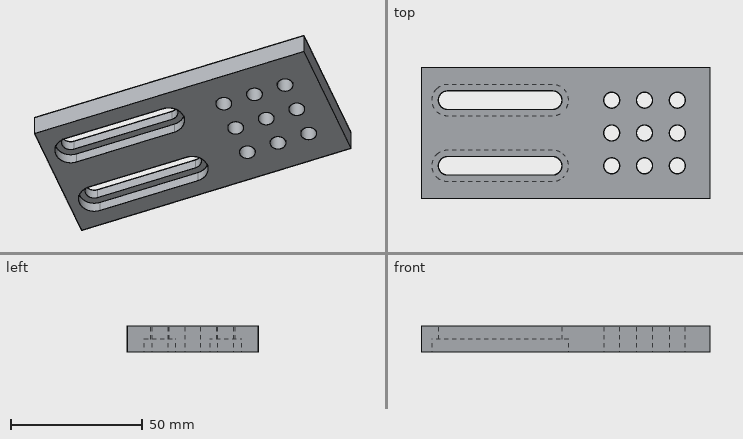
import cadquery as cq

PLATE_LENGTH = 110.0
PLATE_WIDTH = 50.0
PLATE_THICKNESS = 10.0

HOLE_DIAMETER = 6.0
GRID_PITCH = 12.5
GRID_COUNT = 3
GRID_CENTER_X = 30.0

SLOT_WIDTH = 7.0
RECESS_WIDTH = 12.0
RECESS_DEPTH = 5.0
SLOT_TRAVEL = 40.0
SLOT_CENTER_X = -25.0
SLOT_OFFSET_Y = GRID_PITCH * (GRID_COUNT - 1) / 2


def make_plate():
    return cq.Workplane("XY").box(
        PLATE_LENGTH, PLATE_WIDTH, PLATE_THICKNESS, centered=(True, True, False)
    )


def make_hole_grid():
    return (
        cq.Workplane("XY")
        .center(GRID_CENTER_X, 0)
        .rarray(GRID_PITCH, GRID_PITCH, GRID_COUNT, GRID_COUNT)
        .circle(HOLE_DIAMETER / 2)
        .extrude(PLATE_THICKNESS)
    )


def make_slots(width, height):
    """Both slots as solids of the given width, rising from the underside of the plate."""
    centers = [(SLOT_CENTER_X, side * SLOT_OFFSET_Y) for side in (-1, 1)]
    return (
        cq.Workplane("XY")
        .pushPoints(centers)
        .slot2D(SLOT_TRAVEL + width, width)
        .extrude(height)
    )


result = (
    make_plate()
    .cut(make_hole_grid())
    .cut(make_slots(SLOT_WIDTH, PLATE_THICKNESS))
    .cut(make_slots(RECESS_WIDTH, RECESS_DEPTH))
)